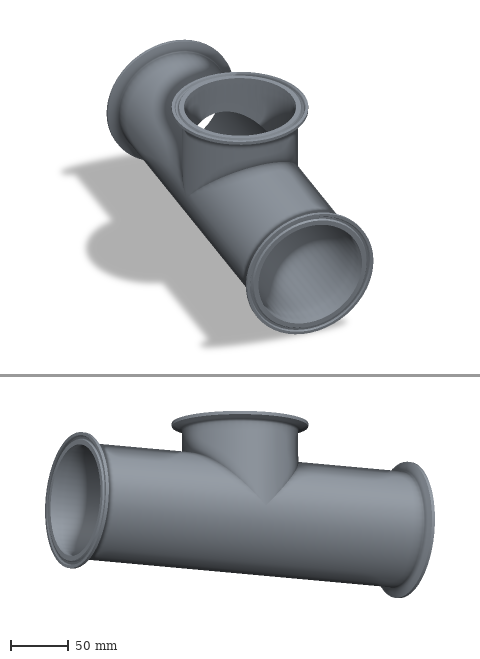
import cadquery as cq
import math

run_length = 320.0
branch_height = 81.3
pipe_radius = 101.5 / 2
bore_radius = 97.5 / 2

rim_radius = 119.0 / 2
rim_thickness = 3.0
back_angle = math.radians(20)
back_fillet = 1.5

groove_radius = 55.0
groove_top_width = 4.0
groove_floor_width = 2.0
groove_depth = 1.5

run_half = run_length / 2
cone_length = (rim_radius - pipe_radius) * math.tan(back_angle)
cone_end = rim_thickness + cone_length

fillet_reach = back_fillet * math.tan((math.pi / 2 - back_angle) / 2)
cone_tangent = (
    pipe_radius + fillet_reach * math.cos(back_angle),
    cone_end - fillet_reach * math.sin(back_angle),
)
fillet_center = (pipe_radius + back_fillet, cone_end + fillet_reach)
middle_angle = math.pi + (math.pi / 2 - back_angle) / 2
fillet_middle = (
    fillet_center[0] + back_fillet * math.cos(middle_angle),
    fillet_center[1] + back_fillet * math.sin(middle_angle),
)


def revolve_about_pipe(profile):
    return profile.close().revolve(360, (0, 0, 0), (0, 1, 0))


def solid_leg(length):
    """Unbored pipe and ferrule, with the face at z = 0 and the pipe running down."""
    profile = (
        cq.Workplane("XZ")
        .moveTo(0, 0)
        .lineTo(rim_radius, 0)
        .lineTo(rim_radius, -rim_thickness)
        .lineTo(cone_tangent[0], -cone_tangent[1])
        .threePointArc(
            (fillet_middle[0], -fillet_middle[1]),
            (pipe_radius, -fillet_center[1]),
        )
        .lineTo(pipe_radius, -length)
        .lineTo(0, -length)
    )
    return revolve_about_pipe(profile)


def groove_ring():
    """Gasket groove volume, opening at z = 0."""
    profile = cq.Workplane("XZ").polyline([
        (groove_radius - groove_top_width / 2, 0),
        (groove_radius + groove_top_width / 2, 0),
        (groove_radius + groove_floor_width / 2, -groove_depth),
        (groove_radius - groove_floor_width / 2, -groove_depth),
    ])
    return revolve_about_pipe(profile)


def at_end(shape, reach, turn):
    """Move a shape from z = 0 out to a pipe end, turned about Y from the branch direction."""
    return shape.translate((0, 0, reach)).rotate((0, 0, 0), (0, 1, 0), turn)


run = at_end(solid_leg(run_half), run_half, 90).union(at_end(solid_leg(run_half), run_half, -90))
branch = at_end(solid_leg(branch_height), branch_height, 0)
run_bore = cq.Workplane("YZ").circle(bore_radius).extrude(run_half, both=True)
branch_bore = cq.Workplane("XY").circle(bore_radius).extrude(branch_height)

result = run.union(branch).cut(run_bore).cut(branch_bore)
for reach, turn in ((run_half, 90), (run_half, -90), (branch_height, 0)):
    result = result.cut(at_end(groove_ring(), reach, turn))